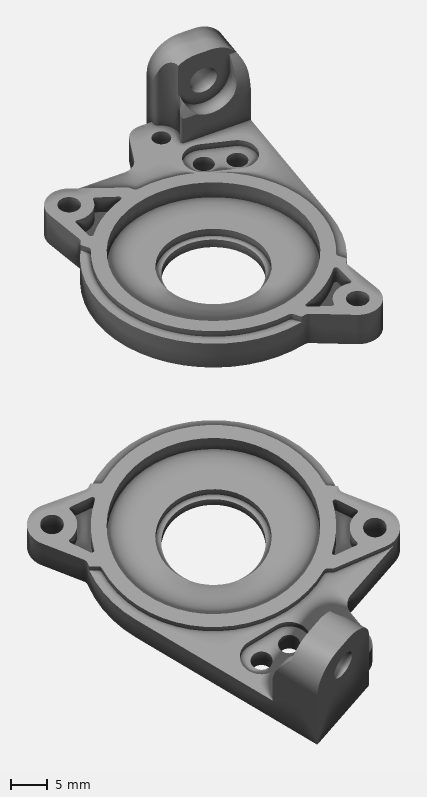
import cadquery as cq
import math

disc_radius = 18.14
plate_top = 4.25
rim_top = 5.25
rim_radius = 16.65
recess_diameter = 29.05
recess_floor = 2.6
seat_diameter = 15.8
seat_depth = 1.25
bore_diameter = 14.2

ear_radius = 3.4
ear_x = 17.95
ear_y = 12.6
ear_distance = math.hypot(ear_x, ear_y)
ear_angle = math.degrees(math.atan2(ear_y, ear_x))
ear_flank_angle = 24.5
ear_hole_diameter = 3.2
ear_band_half_width = 6.85
band_fillet = 0.5
ear_root_fillet = 1.05
wide_flank_angle = 28.0
wide_flank_fillet = 0.8
pocket_apex = 24.55
pocket_half_angle = 30.0
pocket_floor = 2.6
pocket_fillet = 0.35

left_x = ear_x + ear_radius - 51.75
tab_x = -28.95
tab_corner_y = 2.35
tab_slope = 20.0
tab_fillet = 2.6
plate_step_x = -ear_x - ear_radius
tab_hole_x = -25.35
tab_hole_y = 5.65
tab_hole_diameter = 2.7

pair_centers = [(-17.45, 13.1), (-18.9, 8.7)]
pair_hole_diameter = 3.0
slot_radius = 2.95
slot_depth = 1.05

lug_height = 16.9
lug_width = 12.05
lug_thickness = 5.0
lug_round = 4.95
foot_x = -22.95
pivot_diameter = 4.2
pivot_y = disc_radius - lug_width / 2
pivot_z = lug_height - lug_round
lug_face_x = left_x + lug_thickness
head_radius = 4.05
scoop_radius = 2.6
scoop_left_fillet = 0.85
scoop_right_fillet = 0.4

shoulder_mid_x = -23.6
rear_shoulder = (14.9, 12.2, 9.75)
front_shoulder = (11.55, 9.65, 8.6)


def cylinder(x, y, radius, bottom, top):
    return cq.Workplane("XY", origin=(x, y, bottom)).circle(radius).extrude(top - bottom)


def turned(shape, turn=0):
    """Turn a shape from the X axis to the upper ear, plus an extra turn."""
    return shape.rotate((0, 0, 0), (0, 0, 1), ear_angle + turn)


def nearest_edge(shape, x, y, z):
    """Vertical edge closest to a point."""
    return shape.edges("|Z").edges(cq.selectors.NearestToPointSelector((x, y, z)))


def flank_tangent(flank_angle):
    """Point on the ear's round end where a flank at this angle to the ear axis is tangent."""
    flank = math.radians(flank_angle)
    return ear_distance + ear_radius * math.sin(flank), ear_radius * math.cos(flank)


def ear():
    """Ear along +X: a wedge tangent to a round end."""
    tangent_x, tangent_y = flank_tangent(ear_flank_angle)
    root_x = recess_diameter / 2
    root_y = tangent_y + (tangent_x - root_x) * math.tan(math.radians(ear_flank_angle))
    return (
        cq.Workplane("XY")
        .moveTo(root_x, -root_y)
        .lineTo(tangent_x, -tangent_y)
        .threePointArc((ear_distance + ear_radius, 0), (tangent_x, tangent_y))
        .lineTo(root_x, root_y)
        .close()
        .extrude(rim_top)
    )


def eared_disc():
    """Disc with its ears along X; three ear roots are blended, the fourth runs into the plate."""
    disc = cylinder(0, 0, disc_radius, 0, rim_top)
    disc = disc.union(ear()).union(ear().rotate((0, 0, 0), (0, 0, 1), 180))
    flank = math.radians(ear_flank_angle)
    apex = ear_distance + ear_radius / math.sin(flank)
    polar = math.asin(apex * math.sin(flank) / disc_radius) - flank
    root_x = disc_radius * math.cos(polar)
    root_y = disc_radius * math.sin(polar)
    for x, y in [(root_x, root_y), (root_x, -root_y), (-root_x, -root_y)]:
        disc = nearest_edge(disc, x, y, rim_top / 2).fillet(ear_root_fillet)
    return disc


def ear_pocket():
    """Triangular pocket along +X between the rim and the ear hole boss."""
    height = rim_top - pocket_floor
    half_width = pocket_apex * math.tan(math.radians(pocket_half_angle))
    wedge = (
        cq.Workplane("XY", origin=(0, 0, pocket_floor))
        .polyline([(0, -half_width), (pocket_apex, 0), (0, half_width)])
        .close()
        .extrude(height)
    )
    pocket = wedge.cut(cylinder(0, 0, rim_radius, pocket_floor, rim_top))
    pocket = pocket.cut(cylinder(ear_distance, 0, ear_radius, pocket_floor, rim_top))
    return pocket.edges("|Z").fillet(pocket_fillet)


def side_plate():
    """Flat plate joining the disc, the lower ear and the lug."""
    step_corner_y = tab_corner_y - (plate_step_x - tab_x) * math.tan(math.radians(tab_slope))
    outline = [
        (0, disc_radius),
        (tab_x, disc_radius),
        (tab_x, tab_corner_y),
        (plate_step_x, step_corner_y),
        (plate_step_x, -ear_y),
        (-ear_x, -ear_y),
        (0, 0),
    ]
    plate = cq.Workplane("XY").polyline(outline).close().extrude(plate_top)
    corners = [(tab_x, tab_corner_y), (plate_step_x, step_corner_y)]
    for x, y in corners:
        plate = nearest_edge(plate, x, y, plate_top / 2).fillet(tab_fillet)
    return plate


def raised_zone():
    """Everything that rises above the plate: a round rim crossed by a band along the ears.

    The band narrows along a wider flank where the lower ear stands on the side plate.
    """
    height = rim_top - plate_top
    middle_z = plate_top + height / 2
    slope = math.tan(math.radians(wide_flank_angle))
    tangent_x, tangent_y = flank_tangent(wide_flank_angle)
    corner_x = tangent_x - (ear_band_half_width - tangent_y) / slope
    apex_x = tangent_x + tangent_y / slope
    outline = [
        (apex_x, -ear_band_half_width),
        (apex_x, ear_band_half_width),
        (-corner_x, ear_band_half_width),
        (-apex_x, 0),
        (-apex_x, -ear_band_half_width),
    ]
    band = cq.Workplane("XY", origin=(0, 0, plate_top)).polyline(outline).close().extrude(height)
    band = nearest_edge(band, -corner_x, ear_band_half_width, middle_z).fillet(wide_flank_fillet)
    zone = band.union(cylinder(0, 0, rim_radius, plate_top, rim_top))
    rim_corner_x = math.sqrt(rim_radius**2 - ear_band_half_width**2)
    for x in (-rim_corner_x, rim_corner_x):
        for y in (-ear_band_half_width, ear_band_half_width):
            zone = nearest_edge(zone, x, y, middle_z).fillet(band_fillet)
    return zone


def disc_and_rim():
    """Stepped disc with both ears, turned to the ear angle."""
    blank = eared_disc()
    tangent_x, tangent_y = flank_tangent(wide_flank_angle)
    wide_flank_fill = (
        cq.Workplane("XY", origin=(-tangent_x, 0, plate_top))
        .rect(tangent_x, ear_band_half_width, centered=False)
        .extrude(rim_top - plate_top)
    )
    raised = blank.union(wide_flank_fill).intersect(raised_zone())
    base = blank.intersect(cylinder(0, 0, 2 * disc_radius, 0, plate_top))
    return turned(base.union(raised))


def above_shoulder(heights, y_start, y_end):
    """Space in front of the lug face and above a shoulder, for a stretch along Y."""
    at_face, midway, at_foot = heights
    return (
        cq.Workplane("XZ", origin=(0, y_end, 0))
        .moveTo(lug_face_x, at_face)
        .threePointArc((shoulder_mid_x, midway), (foot_x, at_foot))
        .lineTo(foot_x, lug_height)
        .lineTo(lug_face_x, lug_height)
        .close()
        .extrude(y_end - y_start)
    )


def lug():
    front_y = disc_radius - lug_width
    body = cq.Workplane("XY").box(foot_x - left_x, lug_width, lug_height, centered=False)
    body = body.translate((left_x, front_y, 0))
    body = body.edges("|X and >Z").fillet(lug_round)

    lower = (
        cq.Workplane("XY")
        .box(lug_thickness, lug_width, plate_top, centered=False)
        .translate((left_x, front_y, 0))
    )
    footprint = (
        cq.Workplane("XY", origin=(0, 0, plate_top))
        .moveTo((left_x + foot_x) / 2, pivot_y)
        .rect(foot_x - left_x, lug_width)
        .extrude(lug_height)
        .cut(cylinder(tab_hole_x, tab_hole_y, scoop_radius, plate_top, 2 * lug_height))
    )
    left_corner_x = tab_hole_x - math.sqrt(scoop_radius**2 - (front_y - tab_hole_y) ** 2)
    right_corner_y = tab_hole_y + math.sqrt(scoop_radius**2 - (foot_x - tab_hole_x) ** 2)
    corners = [
        (left_corner_x, front_y, scoop_left_fillet),
        (foot_x, right_corner_y, scoop_right_fillet),
    ]
    for x, y, radius in corners:
        footprint = nearest_edge(footprint, x, y, plate_top + lug_height / 2).fillet(radius)
    body = body.intersect(footprint).union(lower)

    body = body.cut(above_shoulder(rear_shoulder, pivot_y, disc_radius))
    body = body.cut(above_shoulder(front_shoulder, front_y, pivot_y))

    head_start = cq.Workplane("YZ", origin=(lug_face_x, pivot_y, pivot_z))
    head_length = foot_x - lug_face_x
    body = body.cut(head_start.circle(head_radius).extrude(head_length))
    opening = head_start.rect(2 * head_radius, lug_height).extrude(head_length)
    body = body.cut(opening.translate((0, 0, lug_height / 2)))
    pivot = cq.Workplane("YZ", origin=(left_x, pivot_y, pivot_z))
    return body.cut(pivot.circle(pivot_diameter / 2).extrude(lug_thickness))


def screw_pair():
    """Two through holes sunk in a common slot."""
    (x1, y1), (x2, y2) = pair_centers
    length = math.hypot(x1 - x2, y1 - y2) + 2 * slot_radius
    angle = math.degrees(math.atan2(y1 - y2, x1 - x2))
    tool = (
        cq.Workplane("XY", origin=((x1 + x2) / 2, (y1 + y2) / 2, plate_top - slot_depth))
        .transformed(rotate=(0, 0, angle))
        .slot2D(length, 2 * slot_radius)
        .extrude(slot_depth)
    )
    for x, y in pair_centers:
        tool = tool.union(cylinder(x, y, pair_hole_diameter / 2, 0, plate_top))
    return tool


body = disc_and_rim().union(side_plate()).union(lug())

body = body.cut(cylinder(0, 0, recess_diameter / 2, recess_floor, rim_top))
body = body.cut(cylinder(0, 0, seat_diameter / 2, recess_floor - seat_depth, recess_floor))
body = body.cut(cylinder(0, 0, bore_diameter / 2, 0, recess_floor))
for turn in (0, 180):
    body = body.cut(turned(ear_pocket(), turn))
    body = body.cut(turned(cylinder(ear_distance, 0, ear_hole_diameter / 2, 0, rim_top), turn))
body = body.cut(cylinder(tab_hole_x, tab_hole_y, tab_hole_diameter / 2, 0, plate_top))
body = body.cut(screw_pair())

result = body